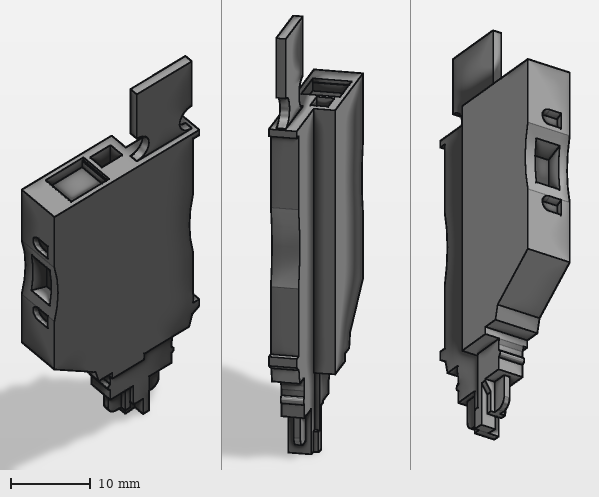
import cadquery as cq

WIDTH = 6.35
DEPTH = 23.85
HEIGHT = 57.55

HOUSING_TOP = 45.6
HOUSING_BOTTOM = 11.57
BLOCK_DEPTH = 14.8
BLOCK_FOOT_BOTTOM = 10.55
WALL_X = 2.75
REAR_Y = DEPTH - 1.0
TOP_LIP_HEIGHT = 0.95
LOWER_LIP_TOP = 15.4
LOWER_LIP_BOTTOM = 14.2
SHOULDER_Z = 13.5
REAR_SHOULDER_Y = 22.7
REAR_FOOT_Y = 22.2
FRONT_CORNER_Z = 18.4
FRONT_SHOULDER_Y = 6.8
FRONT_FOOT_Y = 7.3

FRONT_HOLLOW_BOTTOM = 27.0
FRONT_HOLLOW_TOP = 36.55
REAR_HOLLOW_BOTTOM = 24.4
REAR_HOLLOW_TOP = 34.9
HOLLOW_DEPTH = 0.6

TAB_X = 4.3
TAB_THICKNESS = 1.25
TAB_FRONT_Y = 14.25
TAB_REAR_Y = 23.3
TAB_NECK_Z = 47.65
TAB_NECK_RADIUS = 2.0

POCKET_RIGHT_X = 5.05
WINDOW_LEFT_X = 1.5
WINDOW_BOTTOM = 28.7
WINDOW_TOP = 35.0
WINDOW_DEPTH = 2.85
WINDOW_DROP = 1.05
NOTCH_LEFT_X = 2.2
NOTCH_HEIGHT = 2.15
NOTCH_BOTTOMS = (24.8, 37.2)
NOTCH_DEPTH = 0.95
NOTCH_DROP = 0.42

PROBE_X = 1.2
PROBE_WIDTH = 2.3
PROBE_FRONT_Y = 10.25
PROBE_LENGTH = 3.35
PROBE_DEPTH = 3.0
LABEL_X = 0.65
LABEL_WIDTH = 5.0
LABEL_FRONT_Y = 3.4
LABEL_LENGTH = 6.2
LABEL_DEPTH = 1.6
LABEL_RIM_DEPTH = 0.5
LABEL_RIM = 0.2

PLUG_LEFT_X = 2.08
PLUG_RIGHT_X = 5.74
PLUG_BOTTOM = 6.2
PLUG_TAPER_START = BLOCK_FOOT_BOTTOM
PLUG_TAPER_END = 9.83
PLUG_FRONT_Y = 9.7
PLUG_REAR_Y = 19.8
PLUG_TAPER = 0.15
PLUG_SPLIT_Y = 14.4
BEAD_Z = 8.46
BEAD_HALF_HEIGHT = 0.54
BEAD_HEIGHT = 0.38
BEAD_CHAMFER = 0.14

PRONG_FRONT_Y = 13.53
PRONG_REAR_Y = 16.1
PRONG_STEP_Y = 15.1
PRONG_STEP_Z = 2.86
PRONG_HALF_X = 4.16
PRONG_TIP_RISE = 0.15
PEG_BOTTOM = 1.85
PEG_LEFT_X = 3.5
PEG_RIGHT_X = 4.35
PEG_FRONT_Y = 10.55
PEG_REAR_Y = 18.87
PEG_RADIUS = 1.35
WEB_FRONT_Y = 12.7
WEB_LEFT_X = 2.95
WEB_RIGHT_X = 5.08
WEB_SLOPE_TOP = 5.95
WEB_SLOPE_BOTTOM = 4.6


def box(x0, x1, y0, y1, z0, z1):
    """Box between two corners."""
    return cq.Workplane("XY").box(x1 - x0, y1 - y0, z1 - z0, centered=False).translate((x0, y0, z0))


def side_plate(profile, x0, x1):
    """Extrude a (Y, Z) profile drawn on the YZ plane from x0 to x1."""
    return profile.close().extrude(x1 - x0).translate((x0, 0, 0))


def front_block():
    hollow_middle = (FRONT_HOLLOW_BOTTOM + FRONT_HOLLOW_TOP) / 2
    profile = (
        cq.Workplane("YZ")
        .moveTo(BLOCK_DEPTH, HOUSING_TOP)
        .lineTo(0, HOUSING_TOP)
        .lineTo(0, FRONT_HOLLOW_TOP)
        .threePointArc((HOLLOW_DEPTH, hollow_middle), (0, FRONT_HOLLOW_BOTTOM))
        .lineTo(0, FRONT_CORNER_Z)
        .lineTo(FRONT_SHOULDER_Y, SHOULDER_Z)
        .lineTo(FRONT_FOOT_Y, HOUSING_BOTTOM)
        .lineTo(PLUG_FRONT_Y - PLUG_TAPER, HOUSING_BOTTOM)
        .lineTo(PLUG_FRONT_Y - PLUG_TAPER, BLOCK_FOOT_BOTTOM)
        .lineTo(BLOCK_DEPTH, BLOCK_FOOT_BOTTOM)
    )
    return side_plate(profile, 0, WIDTH)


def rear_wall():
    hollow_middle = (REAR_HOLLOW_BOTTOM + REAR_HOLLOW_TOP) / 2
    profile = (
        cq.Workplane("YZ")
        .moveTo(BLOCK_DEPTH, HOUSING_TOP)
        .lineTo(DEPTH, HOUSING_TOP)
        .lineTo(DEPTH, HOUSING_TOP - TOP_LIP_HEIGHT)
        .lineTo(REAR_Y, HOUSING_TOP - TOP_LIP_HEIGHT)
        .lineTo(REAR_Y, REAR_HOLLOW_TOP)
        .threePointArc((REAR_Y - HOLLOW_DEPTH, hollow_middle), (REAR_Y, REAR_HOLLOW_BOTTOM))
        .lineTo(REAR_Y, LOWER_LIP_TOP)
        .lineTo(DEPTH, LOWER_LIP_TOP)
        .lineTo(DEPTH, LOWER_LIP_BOTTOM)
        .lineTo(REAR_SHOULDER_Y, SHOULDER_Z)
        .lineTo(REAR_FOOT_Y, HOUSING_BOTTOM)
        .lineTo(BLOCK_DEPTH, HOUSING_BOTTOM)
    )
    return side_plate(profile, WALL_X, WIDTH)


def tab():
    plate = box(TAB_X, TAB_X + TAB_THICKNESS, TAB_FRONT_Y, TAB_REAR_Y, HOUSING_TOP, HEIGHT)
    neck = (
        cq.Workplane("YZ")
        .pushPoints([(TAB_FRONT_Y, TAB_NECK_Z), (TAB_REAR_Y, TAB_NECK_Z)])
        .circle(TAB_NECK_RADIUS)
        .extrude(WIDTH)
    )
    return plate.cut(neck)


def oblique_pocket(outline, depth, drop):
    """Sweep an XZ-plane outline from the front face inward and downward."""
    direction = cq.Vector(0, depth, -drop)
    return cq.Workplane(cq.Solid.extrudeLinear(outline.val(), [], direction))


def window():
    outline = (
        cq.Workplane("XZ")
        .moveTo(WINDOW_LEFT_X, WINDOW_BOTTOM)
        .lineTo(POCKET_RIGHT_X, WINDOW_BOTTOM)
        .lineTo(POCKET_RIGHT_X, WINDOW_TOP)
        .lineTo(WINDOW_LEFT_X, WINDOW_TOP)
        .close()
    )
    return oblique_pocket(outline, WINDOW_DEPTH, WINDOW_DROP)


def notch(bottom):
    radius = NOTCH_HEIGHT / 2
    arc_x = NOTCH_LEFT_X + radius
    outline = (
        cq.Workplane("XZ")
        .moveTo(arc_x, bottom)
        .lineTo(POCKET_RIGHT_X, bottom)
        .lineTo(POCKET_RIGHT_X, bottom + NOTCH_HEIGHT)
        .lineTo(arc_x, bottom + NOTCH_HEIGHT)
        .threePointArc((NOTCH_LEFT_X, bottom + radius), (arc_x, bottom))
        .close()
    )
    return oblique_pocket(outline, NOTCH_DEPTH, NOTCH_DROP)


def top_pocket(x, y, width, length, depth):
    return box(x, x + width, y, y + length, HOUSING_TOP - depth, HOUSING_TOP)


def label_recess():
    rim = top_pocket(LABEL_X, LABEL_FRONT_Y, LABEL_WIDTH, LABEL_LENGTH, LABEL_RIM_DEPTH)
    floor_length = LABEL_LENGTH - 2 * LABEL_RIM
    floor = top_pocket(LABEL_X, LABEL_FRONT_Y + LABEL_RIM, LABEL_WIDTH, floor_length, LABEL_DEPTH)
    return rim.union(floor)


def plug_half(face_y, outward, left_x):
    """Half of the plug; outward is -1 for the front half and +1 for the rear half."""
    top_y = face_y + outward * PLUG_TAPER
    bead_top = BEAD_Z + BEAD_HALF_HEIGHT
    bead_bottom = BEAD_Z - BEAD_HALF_HEIGHT
    crest_y = face_y + outward * BEAD_HEIGHT
    flank_y = face_y + outward * BEAD_CHAMFER
    profile = (
        cq.Workplane("YZ")
        .moveTo(PLUG_SPLIT_Y, HOUSING_BOTTOM)
        .lineTo(top_y, HOUSING_BOTTOM)
        .lineTo(top_y, PLUG_TAPER_START)
        .lineTo(face_y, PLUG_TAPER_END)
        .lineTo(face_y, bead_top)
        .lineTo(flank_y, bead_top - BEAD_CHAMFER)
        .threePointArc((crest_y, BEAD_Z), (flank_y, bead_bottom + BEAD_CHAMFER))
        .lineTo(face_y, bead_bottom)
        .lineTo(face_y, PLUG_BOTTOM)
        .lineTo(PLUG_SPLIT_Y, PLUG_BOTTOM)
    )
    return side_plate(profile, left_x, PLUG_RIGHT_X)


def prong():
    upper = box(PLUG_LEFT_X, PLUG_RIGHT_X, PRONG_FRONT_Y, PLUG_SPLIT_Y, PRONG_STEP_Z, PLUG_BOTTOM)
    middle = box(WALL_X, PLUG_RIGHT_X, PLUG_SPLIT_Y, PRONG_STEP_Y, PRONG_STEP_Z, PLUG_BOTTOM)
    rear = box(WALL_X, PLUG_RIGHT_X, PRONG_STEP_Y, PRONG_REAR_Y, PRONG_TIP_RISE, PLUG_BOTTOM)
    tip_profile = (
        cq.Workplane("YZ")
        .moveTo(PRONG_FRONT_Y, 0)
        .lineTo(PRONG_STEP_Y, PRONG_TIP_RISE)
        .lineTo(PRONG_STEP_Y, PRONG_STEP_Z)
        .lineTo(PRONG_FRONT_Y, PRONG_STEP_Z)
    )
    tip = side_plate(tip_profile, PLUG_LEFT_X, PRONG_HALF_X)
    return upper.union(middle).union(rear).union(tip)


def pegs():
    blade = box(PEG_LEFT_X, PEG_RIGHT_X, PEG_FRONT_Y, PEG_REAR_Y, PEG_BOTTOM, PLUG_BOTTOM)
    return blade.edges("|X and <Z").fillet(PEG_RADIUS)


def web():
    profile = (
        cq.Workplane("XZ")
        .moveTo(PLUG_LEFT_X, PLUG_BOTTOM)
        .lineTo(PLUG_LEFT_X, WEB_SLOPE_TOP)
        .lineTo(WEB_LEFT_X, WEB_SLOPE_BOTTOM)
        .lineTo(WEB_LEFT_X, PEG_BOTTOM)
        .lineTo(WEB_RIGHT_X, PEG_BOTTOM)
        .lineTo(WEB_RIGHT_X, PLUG_BOTTOM)
        .close()
    )
    return profile.extrude(WEB_FRONT_Y - PRONG_FRONT_Y).translate((0, WEB_FRONT_Y, 0))


housing = front_block().union(rear_wall()).union(tab())
housing = housing.cut(window())
for notch_bottom in NOTCH_BOTTOMS:
    housing = housing.cut(notch(notch_bottom))
housing = housing.cut(top_pocket(PROBE_X, PROBE_FRONT_Y, PROBE_WIDTH, PROBE_LENGTH, PROBE_DEPTH))
housing = housing.cut(label_recess())

plug_front = plug_half(PLUG_FRONT_Y, -1, PLUG_LEFT_X)
plug_rear = plug_half(PLUG_REAR_Y, 1, WALL_X)
result = housing
for lower_part in (plug_front, plug_rear, prong(), pegs(), web()):
    result = result.union(lower_part)